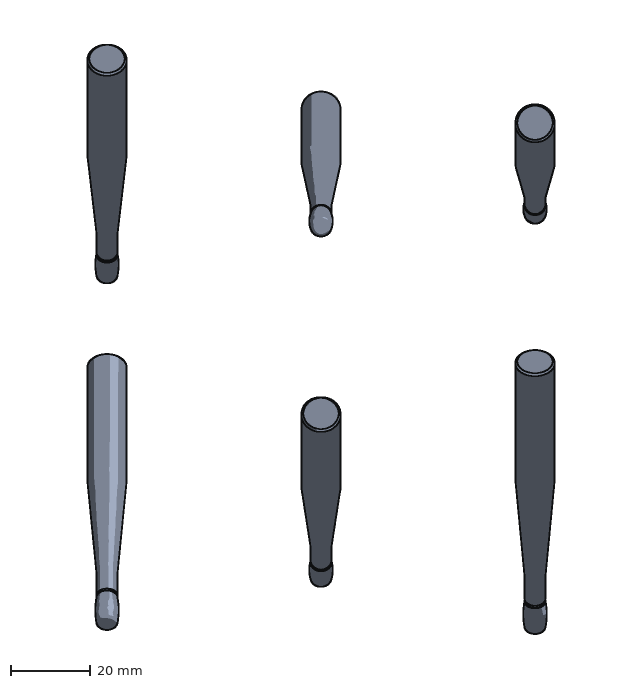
import cadquery as cq

tool_length = 90.0
head_length = 10.0
neck_end = 18.0
taper_end = 50.0

shank_diameter = 10.0
shank_chamfer = 0.5
neck_diameter = 5.4
relief_diameter = 5.2
relief_taper_length = 0.5

barrel_diameter = 6.0
barrel_middle = 4.9
barrel_top = 9.2
barrel_top_diameter = 5.4
relief_start = 9.4
corner_radius = 1.0
corner_diameter = 5.5


def make_shank():
    """Chamfered shank, long taper and neck, narrowed slightly where it meets the head."""
    shank_radius = shank_diameter / 2
    neck_radius = neck_diameter / 2
    return (
        cq.Workplane("XZ")
        .moveTo(0, head_length)
        .lineTo(relief_diameter / 2, head_length)
        .lineTo(neck_radius, head_length + relief_taper_length)
        .lineTo(neck_radius, neck_end)
        .lineTo(shank_radius, taper_end)
        .lineTo(shank_radius, tool_length - shank_chamfer)
        .lineTo(shank_radius - shank_chamfer, tool_length)
        .lineTo(0, tool_length)
        .close()
        .revolve(360, (0, 0, 0), (0, 1, 0))
    )


def make_cutting_head():
    """Barrel with a rounded tip and a short cylindrical relief above it."""
    corner_outer_radius = corner_diameter / 2
    return (
        cq.Workplane("XZ")
        .lineTo(corner_outer_radius - corner_radius, 0)
        .tangentArcPoint((corner_outer_radius, corner_radius), relative=False)
        .threePointArc((barrel_diameter / 2, barrel_middle), (barrel_top_diameter / 2, barrel_top))
        .lineTo(relief_diameter / 2, relief_start)
        .lineTo(relief_diameter / 2, head_length)
        .lineTo(0, head_length)
        .close()
        .revolve(360, (0, 0, 0), (0, 1, 0))
    )


shank = make_shank()
cutting_head = make_cutting_head()
result = cq.Compound.makeCompound([shank.val(), cutting_head.val()])